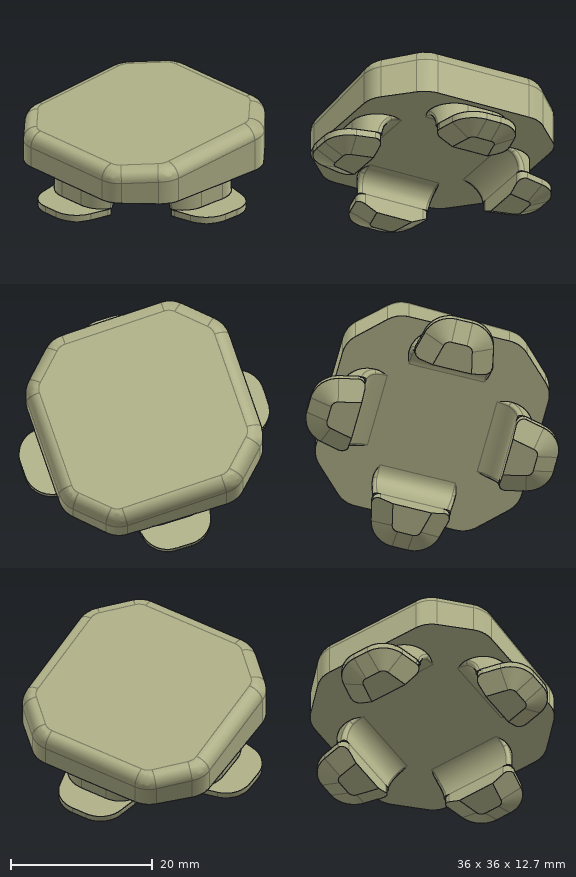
import cadquery as cq
import math

span = 36.0
body_width = 30.0
body_bottom = 5.5

corner_cut = 6.0
corner_radius = 4.0
low_side_height = 10.4
top_slope = 4.7
top_radius = 2.0

plate_top = 2.5
rim_height = 1.0
taper_run = 3.0
foot_inner = 11.0
tip_half_width = 4.3
side_flare = 13.0
tip_radius = 3.95
inner_corner_radius = 1.0

neck_outer = 14.0
neck_width = 12.0
neck_corner_radius = 4.0
neck_edge_radius = 0.5
root_depth = 1.0

half_span = span / 2
half_body = body_width / 2
arch_radius = body_bottom - plate_top
arch_start = foot_inner - arch_radius
root_inner = arch_start - arch_radius


def make_body():
    """Square cap with cut, blended corners and a rounded sloping top."""
    rise = body_width * math.tan(math.radians(top_slope))
    side_profile = [
        (-half_body, body_bottom),
        (half_body, body_bottom),
        (half_body, low_side_height + rise),
        (-half_body, low_side_height),
    ]
    body = cq.Workplane("YZ").polyline(side_profile).close().extrude(half_body, both=True)
    body = body.edges("|Z").chamfer(corner_cut)
    body = body.edges("|Z").fillet(corner_radius)
    return body.faces(">Z").edges().fillet(top_radius)


def plate_blank(inner, height):
    """Foot outline that widens from the tip to the given inner distance, extruded up from z = 0."""
    inner_half_width = tip_half_width + (half_span - inner) * math.tan(math.radians(side_flare))
    outline = [
        (-tip_half_width, half_span),
        (tip_half_width, half_span),
        (inner_half_width, inner),
        (-inner_half_width, inner),
    ]
    blank = cq.Workplane("XY").polyline(outline).close().extrude(height)
    return blank.edges("|Z and >Y").fillet(tip_radius)


def make_plate():
    """Foot plate: tapered underside, trimmed to an inner face with rounded corners."""
    taper_rise = plate_top - rim_height
    taper_angle = math.degrees(math.atan2(taper_run, taper_rise))
    rim = plate_blank(root_inner, rim_height).translate((0, 0, taper_rise))
    rim_outline = rim.faces("<Z").wires().toPending().workplane()
    underside = rim_outline.extrude(taper_rise, combine=False, taper=taper_angle)
    trim = plate_blank(foot_inner, plate_top).edges("|Z and <Y").fillet(inner_corner_radius)
    return rim.union(underside).intersect(trim)


def make_neck():
    """Upright neck whose inner face arches into the underside of the body."""
    root_top = body_bottom + root_depth
    arch_offset = arch_radius * math.sqrt(0.5)
    side_profile = (
        cq.Workplane("YZ")
        .moveTo(neck_outer, plate_top)
        .lineTo(foot_inner, plate_top)
        .threePointArc(
            (arch_start + arch_offset, plate_top + arch_offset),
            (arch_start, body_bottom),
        )
        .lineTo(root_inner, body_bottom)
        .lineTo(root_inner, root_top)
        .lineTo(neck_outer, root_top)
        .close()
    )
    neck = side_profile.extrude(neck_width / 2, both=True)
    neck = neck.edges("|Z and >Y").fillet(neck_corner_radius)
    arch_face = neck.faces(cq.selectors.TypeSelector("CYLINDER")).faces("<Y")
    arch_sides = arch_face.edges("not |X")
    return arch_sides.fillet(neck_edge_radius)


result = make_body()
foot = make_plate().union(make_neck())
for angle in (0, 90, 180, 270):
    result = result.union(foot.rotate((0, 0, 0), (0, 0, 1), angle))